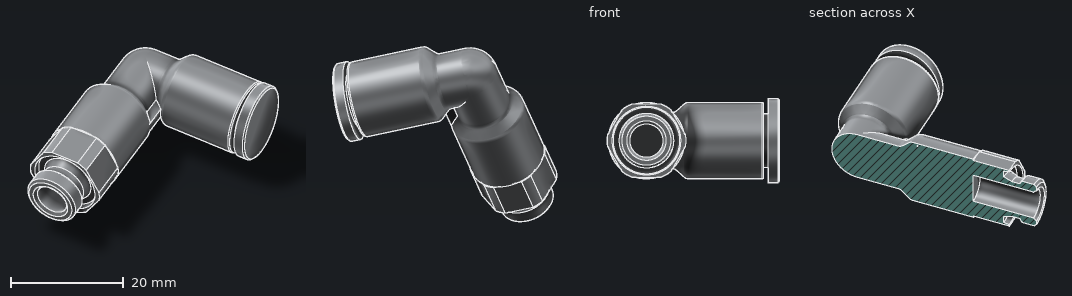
import cadquery as cq
import math


elbow_radius = 5.0
sleeve_radius = 6.8
shoulder_length = 2.0
shoulder_fillet = 1.0
arm_shoulder = 5.0
arm_length = 20.8
arm_rim_length = 0.3
arm_rim_depth = 0.12
stem_shoulder = 8.3
rib_thickness = 2.0
rib_overlap = 2

collar_neck_radius = 4.8
collar_start = 21.6
collar_end = 23.59
collar_height = 15.0
collar_width = 13.0
collar_chamfer = 0.3

hex_start = 22.4
hex_end = 29.35
hex_across_flats = 13.0
hex_corner_radius = 7.0

recess_depth = 1.05
recess_mouth_radius = 6.1
recess_floor_radius = 5.9

stem_end = 34.6
neck_radius = 4.1
neck_start = 29.86
neck_end = 31.35
neck_root_radius = 4.7
head_radius = 4.85
head_start = 31.75
head_chamfer_length = 0.45
head_chamfer_depth = 0.5

bore_radius = 2.95
bore_mouth_radius = 3.5
bore_depth = stem_end - hex_start


def turned(points):
    """Solid of revolution about X from (distance along X, radius) points."""
    first = points[0][0]
    last = points[-1][0]
    outline = [(first, 0)] + points + [(last, 0)]
    return cq.Workplane("XY").polyline(outline).close().revolve(360, (0, 0, 0), (1, 0, 0))


def along_stem(body):
    """Turn a body built along +X so that it runs along -Y."""
    return body.rotate((0, 0, 0), (0, 0, 1), -90)


def sleeve(shoulder_start, end_points):
    """Elbow-sized tube that widens over a filleted conical shoulder."""
    shoulder_end = shoulder_start + shoulder_length
    body = turned(
        [
            (0, elbow_radius),
            (shoulder_start, elbow_radius),
            (shoulder_end, sleeve_radius),
        ]
        + end_points
    )
    middle = (shoulder_start + shoulder_end) / 2
    shoulder_edges = body.edges("%CIRCLE").filter(
        lambda edge: abs(edge.Center().x - middle) < shoulder_length
    )
    return shoulder_edges.fillet(shoulder_fillet)


def make_arm():
    return sleeve(
        arm_shoulder,
        [
            (arm_length - arm_rim_length, sleeve_radius),
            (arm_length, sleeve_radius - arm_rim_depth),
        ],
    )


def make_collar():
    neck = turned([(arm_length, collar_neck_radius), (collar_start, collar_neck_radius)])
    oval = (
        cq.Workplane("YZ", origin=(collar_start, 0, 0))
        .ellipse(collar_width / 2, collar_height / 2)
        .extrude(collar_end - collar_start)
        .faces(">X")
        .chamfer(collar_chamfer)
    )
    return neck.union(oval)


def make_stem():
    return along_stem(sleeve(stem_shoulder, [(hex_start, sleeve_radius)]))


def make_rib():
    """Flat web filling the inner corner, flush with the outside of the stem sleeve."""
    reach = math.sqrt(sleeve_radius**2 - (rib_thickness / 2) ** 2)
    length = stem_shoulder + rib_overlap * shoulder_length
    web = cq.Workplane("XY").box(reach, length, rib_thickness, centered=(False, False, True))
    return web.translate((0, -length, 0))


def make_hexagon():
    """Corners point along X; the outside cylinder trims them and the end face is recessed."""
    length = hex_end - hex_start
    corner_diameter = hex_across_flats / math.cos(math.pi / 6)
    prism = cq.Workplane("XZ", origin=(0, -hex_start, 0)).polygon(6, corner_diameter).extrude(length)
    trim = turned([(hex_start, hex_corner_radius), (hex_end, hex_corner_radius)])
    recess = turned([(hex_end - recess_depth, recess_floor_radius), (hex_end, recess_mouth_radius)])
    return prism.intersect(along_stem(trim)).cut(along_stem(recess))


def make_spigot():
    return along_stem(
        turned(
            [
                (hex_end - recess_depth, neck_root_radius),
                (neck_start, neck_radius),
                (neck_end, neck_radius),
                (head_start, head_radius),
                (stem_end - head_chamfer_length, head_radius),
                (stem_end, head_radius - head_chamfer_depth),
            ]
        )
    )


def make_bore():
    mouth_depth = bore_mouth_radius - bore_radius
    return along_stem(
        turned(
            [
                (stem_end - bore_depth, bore_radius),
                (stem_end - mouth_depth, bore_radius),
                (stem_end, bore_mouth_radius),
            ]
        )
    )


elbow = cq.Workplane("XY").sphere(elbow_radius)
result = (
    elbow.union(make_arm())
    .union(make_stem())
    .union(make_rib())
    .union(make_collar())
    .union(make_hexagon())
    .union(make_spigot())
    .cut(make_bore())
)